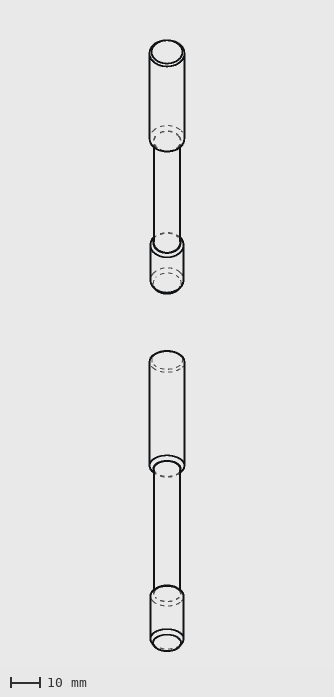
import cadquery as cq

total_length = 120.0
shank_diameter = 12.0
neck_diameter = 9.0
head_diameter = 11.4

shank_bottom_z = 75.1
shank_top_chamfer = 0.7
shank_bottom_chamfer = 1.3

head_height = 21.0
shoulder_height = 1.1
shoulder_ledge = 0.18
tip_radius = 4.8
tip_height = 1.7

shank_radius = shank_diameter / 2
neck_radius = neck_diameter / 2
head_radius = head_diameter / 2


def revolve_profile(points):
    """Solid of revolution about Z from (radius, height) points."""
    return cq.Workplane("XZ").polyline(points).close().revolve(360, (0, 0, 0), (0, 1, 0))


def make_shank():
    """Shank with chamfered ends and a slim neck that stands on the flat top of the head."""
    return revolve_profile([
        (0, head_height),
        (neck_radius, head_height),
        (neck_radius, shank_bottom_z - shank_bottom_chamfer),
        (shank_radius - shank_bottom_chamfer, shank_bottom_z - shank_bottom_chamfer),
        (shank_radius, shank_bottom_z),
        (shank_radius, total_length - shank_top_chamfer),
        (shank_radius - shank_top_chamfer, total_length),
        (0, total_length),
    ])


def make_head():
    """Cylindrical head with a tapered tip and a sloped shoulder around a flat top."""
    return revolve_profile([
        (0, 0),
        (tip_radius, 0),
        (head_radius, tip_height),
        (head_radius, head_height - shoulder_height),
        (neck_radius + shoulder_ledge, head_height),
        (0, head_height),
    ])


shank = make_shank()
head = make_head()

result = cq.Compound.makeCompound([shank.val(), head.val()])